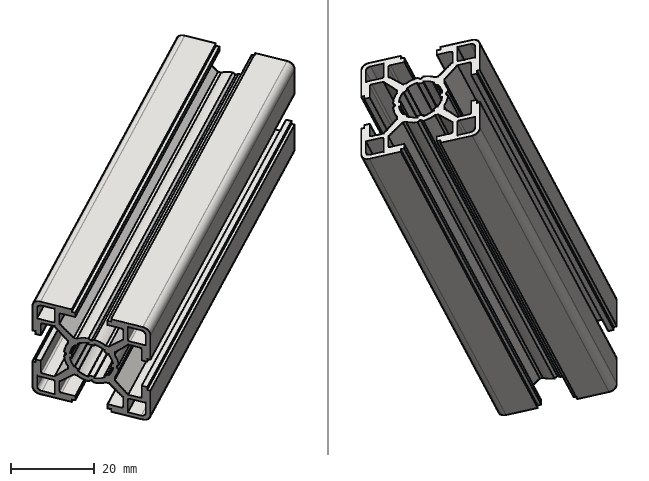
import cadquery as cq
import math

width = 30.0
length = 100.0
outer_radius = 2.0

slot_mouth_width = 10.0
slot_throat_width = 8.2
slot_inside_width = 16.2
mouth_step_depth = 0.8
lip_thickness = 2.2
slot_fillet = 0.5

wall = 1.2
cavity_size = 4.5
cavity_outer_radius = 1.2
cavity_inner_radius = 0.5

web_root_thickness = 2.2
web_tip_thickness = 1.5
core_radius = 7.0
core_square = 11.9
bore_radius = 5.5

groove_half_width = 0.75
groove_depth = 0.55
ridge_width = 1.5
ridge_tip_radius = 5.0

pad_radius = 5.2
pad_width = 1.3

half = width / 2
corner_inner = slot_inside_width / 2
cavity_center = half - wall - cavity_size / 2
diagonal_angle = 45


def extrude(outline):
    """Extrude an XZ section along Y, centred on the origin."""
    return outline.extrude(length / 2, both=True)


def section():
    """Start of an outline in the XZ plane."""
    return cq.Workplane("XZ")


def bar(x_min, x_max, z_min, z_max):
    """Full-length rectangular bar between the given X and Z limits."""
    outline = section().center((x_min + x_max) / 2, (z_min + z_max) / 2)
    return extrude(outline.rect(x_max - x_min, z_max - z_min))


def turned(shape, angle):
    """Shape turned about the Y axis."""
    return shape.rotate((0, 0, 0), (0, 1, 0), angle)


def repeat_on_sides(shape):
    """Union of four copies of a shape, turned about the Y axis by quarter turns."""
    copies = shape
    for angle in (90, 180, 270):
        copies = copies.union(turned(shape, angle))
    return copies


def make_shell():
    """Outer square with rounded edges, with a stepped T slot cut into each side."""
    shell = bar(-half, half, -half, half).edges("|Y").fillet(outer_radius)
    mouth = slot_mouth_width / 2
    throat = slot_throat_width / 2
    lip_bottom = half - lip_thickness
    slot = bar(-corner_inner, corner_inner, 0, lip_bottom)
    slot = slot.edges("|Y and >Z").fillet(slot_fillet)
    slot = slot.union(bar(-throat, throat, 0, half))
    slot = slot.union(bar(-mouth, mouth, half - mouth_step_depth, half))
    return shell.cut(repeat_on_sides(slot))


def make_core():
    """Round core over a square one whose corners flare into the webs."""
    core = extrude(section().circle(core_radius))
    core_half = core_square / 2
    return core.union(bar(-core_half, core_half, -core_half, core_half))


def make_webs():
    """Four diagonal webs that thin slightly from the core to the corner tubes."""
    root = core_square / 2
    tip = cavity_center * math.sqrt(2)
    outline = [
        (root, -web_root_thickness / 2),
        (tip, -web_tip_thickness / 2),
        (tip, web_tip_thickness / 2),
        (root, web_root_thickness / 2),
    ]
    web = extrude(section().polyline(outline).close())
    return repeat_on_sides(turned(web, diagonal_angle))


def make_grooves():
    """V grooves along the outside of the core."""
    slope = groove_depth / groove_half_width
    rim = math.sqrt(core_radius**2 - groove_half_width**2)
    apex = rim - groove_depth
    top = core_radius + groove_depth
    top_half_width = (top - apex) / slope
    outline = [(0, apex), (top_half_width, top), (-top_half_width, top)]
    return repeat_on_sides(extrude(section().polyline(outline).close()))


def make_bore():
    """Centre bore, less the ridges and flat pads that stand in from its wall."""
    bore = extrude(section().circle(bore_radius))
    ridge = bar(-ridge_width / 2, ridge_width / 2, ridge_tip_radius, core_radius)
    pad = turned(bar(pad_radius, core_radius, -pad_width / 2, pad_width / 2), diagonal_angle)
    return bore.cut(repeat_on_sides(ridge)).cut(repeat_on_sides(pad))


def make_cavities():
    """Square hollows of the corner tubes, rounded at the two diagonal corners."""
    low = cavity_center - cavity_size / 2
    high = cavity_center + cavity_size / 2
    cavity = bar(low, high, low, high)
    cavity = cavity.edges("|Y").edges(">X and >Z").fillet(cavity_outer_radius)
    cavity = cavity.edges("|Y").edges("<X and <Z").fillet(cavity_inner_radius)
    return repeat_on_sides(cavity)


profile = make_shell().union(make_core()).union(make_webs())
profile = profile.cut(make_grooves()).cut(make_bore())
result = profile.cut(make_cavities())